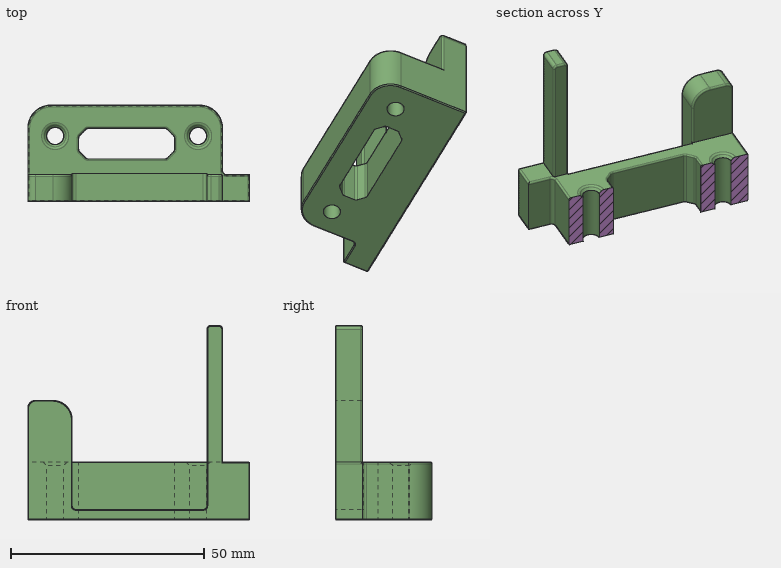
import cadquery as cq

depth = 25.0
base_length = 50.45
base_height = 15.05
base_corner_radius = 6.0

total_length = 57.47
wall_thickness = 7.0
tab_corner_radius = 1.0
post_width = 11.5
post_height = 31.0
post_outer_radius = 2.0
post_inner_radius = 5.0
arm_start = 46.4
arm_top = 50.38
arm_tip_radius = 1.0

recess_depth = 7.25
recess_floor = 2.75
recess_corner_radius = 1.0

centre_x = 25.6
hole_spacing = 37.0
hole_y = 17.0
hole_diameter = 4.4
countersink_depth = 0.9
countersink_rim_radius = 1.0
slot_length = 24.8
slot_width = 7.9
slot_y = 15.0
slot_corner_chamfer = 2.1
slot_corner_radius = 1.0
slot_rim_radius = 0.4

upper_edge_radius = 0.5
front_edge_chamfer = 0.2
bottom_edge_chamfer = 0.3


def block(length, width, height):
    """Box with its lower left front corner at the origin."""
    return cq.Workplane("XY").box(length, width, height, centered=False)


def rim_of_opening(x, y, length, width):
    """Select the edges of an opening in the base top that is centred on (x, y)."""
    reach = countersink_depth / 2
    return cq.selectors.BoxSelector(
        (x - length / 2 - reach, y - width / 2 - reach, base_height - reach),
        (x + length / 2 + reach, y + width / 2 + reach, base_height + reach),
    )


def make_base():
    """Base and tab, with the top outline rounded everywhere but along the front."""
    base = block(base_length, depth, base_height)
    base = base.edges("|Z and >Y").fillet(base_corner_radius)
    base = base.union(block(total_length, wall_thickness, base_height))
    corner_point = (base_length, wall_thickness, base_height / 2)
    base = base.edges(cq.selectors.NearestToPointSelector(corner_point)).fillet(tab_corner_radius)
    return base.faces(">Z").edges("not <Y").fillet(upper_edge_radius)


def cut_screw_hole(body, x):
    """Through hole with a conical countersink that flares smoothly into the base top."""
    bore = cq.Workplane("XY").circle(hole_diameter / 2).extrude(base_height)
    body = body.cut(bore.translate((x, hole_y, 0)))
    rim = rim_of_opening(x, hole_y, hole_diameter, hole_diameter)
    body = body.edges(rim).chamfer(countersink_depth)
    return body.edges(rim).fillet(countersink_rim_radius)


def cut_slot(body):
    """Through slot with bevelled corners and a rounded upper rim."""
    slot = cq.Workplane("XY").rect(slot_length, slot_width).extrude(base_height)
    slot = slot.edges("|Z").chamfer(slot_corner_chamfer)
    slot = slot.edges("|Z").fillet(slot_corner_radius)
    body = body.cut(slot.translate((centre_x, slot_y, 0)))
    rim = rim_of_opening(centre_x, slot_y, slot_length, slot_width)
    return body.edges(rim).fillet(slot_rim_radius)


def round_back_edges(upright):
    return upright.faces(">Y").edges("not <Z").fillet(upper_edge_radius)


def make_post():
    post = block(post_width, wall_thickness, post_height)
    post = post.edges("|Y and >Z and <X").fillet(post_outer_radius)
    post = post.edges("|Y and >Z and >X").fillet(post_inner_radius)
    return round_back_edges(post)


def make_arm():
    arm = block(base_length - arm_start, wall_thickness, arm_top)
    arm = arm.edges("|Y and >Z").fillet(arm_tip_radius)
    return round_back_edges(arm).translate((arm_start, 0, 0))


def make_recess():
    recess = block(arm_start - post_width, recess_depth, base_height)
    recess = recess.edges("|Y and <Z").fillet(recess_corner_radius)
    return recess.translate((post_width, 0, recess_floor))


body = make_base().union(make_post()).union(make_arm()).cut(make_recess())

body = body.faces("<Y").edges("not <Z").chamfer(front_edge_chamfer)
body = body.faces("<Z").edges().chamfer(bottom_edge_chamfer)

for side in (-1, 1):
    body = cut_screw_hole(body, centre_x + side * hole_spacing / 2)
result = cut_slot(body)